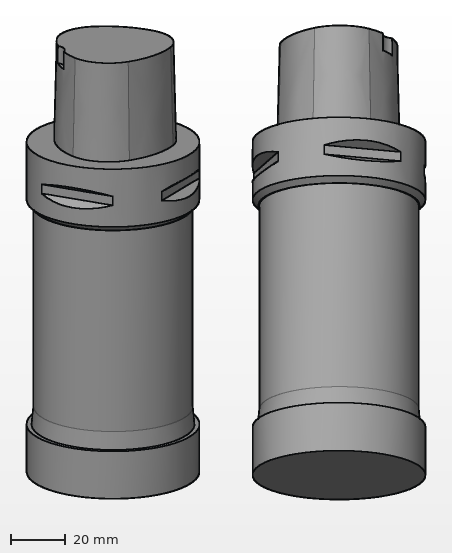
import cadquery as cq
import math

total_height = 164.0
base_height = 18.2
cone_height = 6.9
flange_bottom = 102.2
chamfer_height = 2.1
shank_height = 37.5
flange_top = total_height - shank_height
cone_top = base_height + cone_height

flange_radius = 63.0 / 2
tube_radius = 58.0 / 2
cone_base_radius = 29.7
chamfer_bottom_radius = 29.4

lobe_count = 3
lobe_angle = 2 * math.pi / lobe_count
lobe_radius = 31.0 / 2
lobe_center_distance = 6.9
flank_distance = 20.0
shank_taper = 1 / 40

keyway_width = 7.5
keyway_depth = 1.5
keyway_height = 6.5

groove_count = 4
groove_first_angle = 45
groove_center_height = 114.3
groove_floor_distance = 27.9
groove_floor_height = 3.5
groove_mouth_height = 7.7
groove_length = 2 * flange_radius


def polar(distance, angle):
    return cq.Vector(distance * math.cos(angle), distance * math.sin(angle))


def lobed_wire(offset, height):
    """Closed outline of tangent lobe and flank arcs, grown outward by offset."""
    gap = flank_distance - lobe_radius
    flank_center_distance = (lobe_center_distance**2 - gap**2) / (2 * gap - lobe_center_distance)
    level = cq.Vector(0, 0, height)
    points = []
    for index in range(lobe_count):
        lobe_direction = math.pi / 2 + index * lobe_angle
        lobe_center = polar(lobe_center_distance, lobe_direction)
        tangent_points = []
        for side in (-1, 1):
            flank_direction = lobe_direction + side * lobe_angle / 2
            flank_center = polar(-flank_center_distance, flank_direction)
            outward = (lobe_center - flank_center).normalized()
            tangent_points.append(lobe_center + outward * (lobe_radius + offset))
        lobe_tip = polar(lobe_center_distance + lobe_radius + offset, lobe_direction)
        flank_middle = polar(flank_distance + offset, lobe_direction + lobe_angle / 2)
        points += [tangent_points[0], lobe_tip, tangent_points[1], flank_middle]
    points = [point + level for point in points]
    points.append(points[0])
    arcs = [cq.Edge.makeThreePointArc(*points[start:start + 3]) for start in range(0, len(points) - 1, 2)]
    return cq.Wire.assembleEdges(arcs)


def make_keyway_cutter():
    radius = ((keyway_width / 2) ** 2 + keyway_depth**2) / (2 * keyway_depth)
    center_y = -flank_distance + keyway_depth - radius
    return (
        cq.Workplane("XY", origin=(0, center_y, total_height - keyway_height))
        .circle(radius)
        .extrude(keyway_height)
    )


def make_shank():
    bottom = lobed_wire(shank_height * shank_taper, flange_top)
    top = lobed_wire(0, total_height)
    shank = cq.Workplane(obj=cq.Solid.makeLoft([bottom, top], True))
    return shank.cut(make_keyway_cutter())


def make_groove_cutter(angle):
    half_floor = groove_floor_height / 2
    half_mouth = groove_mouth_height / 2
    return (
        cq.Workplane("XZ", origin=(0, groove_length / 2, groove_center_height))
        .polyline([
            (groove_floor_distance, -half_floor),
            (flange_radius, -half_mouth),
            (flange_radius, half_mouth),
            (groove_floor_distance, half_floor),
        ])
        .close()
        .extrude(groove_length)
        .rotate((0, 0, 0), (0, 0, 1), angle)
    )


def make_holder():
    """Turned tube and flange with grooves, carrying the lobed shank."""
    holder = (
        cq.Workplane("XZ")
        .polyline([
            (0, base_height),
            (cone_base_radius, base_height),
            (tube_radius, cone_top),
            (tube_radius, flange_bottom),
            (chamfer_bottom_radius, flange_bottom),
            (flange_radius, flange_bottom + chamfer_height),
            (flange_radius, flange_top),
            (0, flange_top),
        ])
        .close()
        .revolve(360, (0, 0), (0, 1))
    )
    for index in range(groove_count):
        holder = holder.cut(make_groove_cutter(groove_first_angle + index * 360 / groove_count))
    return holder.union(make_shank())


def make_base():
    """Plain disc under the holder."""
    return cq.Workplane("XY").circle(flange_radius).extrude(base_height)


holder = make_holder()
base = make_base()
result = cq.Compound.makeCompound([holder.val(), base.val()])